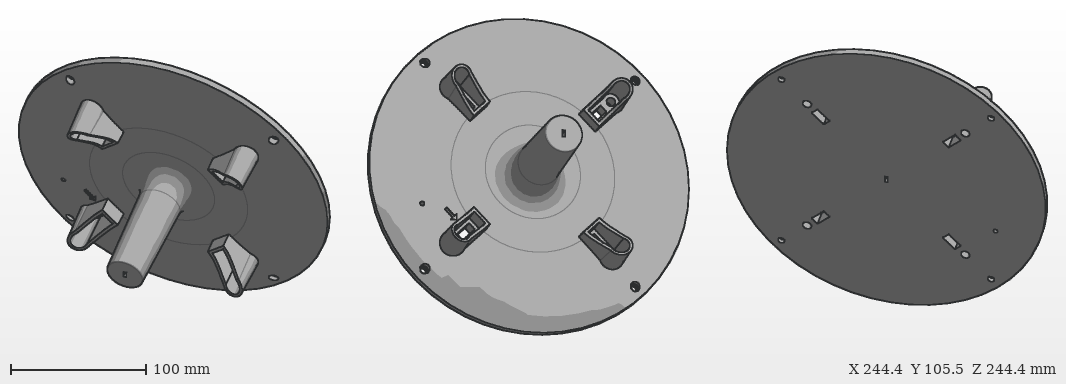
import cadquery as cq


DISH_RADIUS = 122.2
RIM_DEPTH = 5.4
FLAT_RADIUS = 62.5
FACE_DEPTH = 15.2

ROOT_RADIUS = 36.5
FLARE_RADIUS = 19.5
FLARE_END_DEPTH = 34.2
FLARE_END_RADIUS = 16.4
TIP_RADIUS = 14.2
TIP_DEPTH = 105.5
TIP_ROUND = 0.5
TIP_SLOT_WIDTH = 2.2
TIP_SLOT_LENGTH = 5.1

TOWER_ANGLES = (45, 135, 225, 315)
TOWER_PIVOT = 85.8
TOWER_INNER = 58.7
TOWER_ROUND_RADIUS = 9.8
TOWER_ROUND_DRAFT = 2.3
RIB_HALF_WIDTH = 9.0
RIB_DRAFT = 1.4
TOWER_BASE_DEPTH = 11.0
TOWER_DEPTH = 44.2
LOW_END_DEPTH = 26.6
SADDLE_MIDDLE = (76.2, 34.7)
CREST_START = (88.7, 42.3)
POCKET_ROUND_RADIUS = 6.4
POCKET_HALF_WIDTH = 5.9
POCKET_INNER = 61.5
POCKET_FLOOR_DEPTH = 12.2
PIVOT_HOLE_DIAMETER = 6.5
WINDOW_INNER = 64.5
WINDOW_OUTER = 77.7
WINDOW_WIDTH = 6.4

SCREW_OFFSET = 80.5
SCREW_DIAMETER = 5.0
SCREW_HEAD_DIAMETER = 7.0
SCREW_SEAT_DEPTH = 3.7
INDEX_HOLE_X = -83.8
INDEX_HOLE_Z = -31.5
INDEX_HOLE_DIAMETER = 3.2

ARROW_TIP = (-58.0, -42.5)
ARROW_ANGLE = -45
ARROW_LENGTH = 11.7
ARROW_HEAD = 3.2
ARROW_SHAFT_HALF_WIDTH = 1.0
ARROW_FLOOR_DEPTH = 14.2


def plane_at(depth):
    """Workplane parallel to the back, with local x = X, y = Z and normal -Y."""
    return cq.Workplane("XZ", origin=(0, -depth, 0))


def drill(x, z, diameter, floor_depth=0):
    """Round cutter from the given floor out past the front of the part."""
    return plane_at(floor_depth).center(x, z).circle(diameter / 2).extrude(TIP_DEPTH)


def keyhole(depth, height, inner, half_width, round_radius, straight_draft=0, round_draft=0):
    """Block running from its inner end into a slightly wider round at the pivot."""
    length = TOWER_PIVOT - inner
    straight = (
        plane_at(depth)
        .center(inner + length / 2, 0)
        .rect(length, 2 * half_width)
        .extrude(height, taper=straight_draft)
    )
    round_end = (
        plane_at(depth)
        .center(TOWER_PIVOT, 0)
        .circle(round_radius)
        .extrude(height, taper=round_draft)
    )
    return straight.union(round_end)


def on_each_tower(shape):
    """Copies of a shape built along +X, turned onto the four diagonals."""
    copies = cq.Workplane("XY")
    for angle in TOWER_ANGLES:
        copies = copies.add(shape.rotate((0, 0, 0), (0, 1, 0), angle))
    return copies


def make_dish_and_stem():
    dome_drop = FACE_DEPTH - RIM_DEPTH
    dome_run = DISH_RADIUS - FLAT_RADIUS
    dome_radius = (dome_run**2 + dome_drop**2) / (2 * dome_drop)
    profile = (
        cq.Workplane("XY")
        .lineTo(DISH_RADIUS, 0)
        .lineTo(DISH_RADIUS, -RIM_DEPTH)
        .radiusArc((FLAT_RADIUS, -FACE_DEPTH), dome_radius)
        .lineTo(ROOT_RADIUS, -FACE_DEPTH)
        .radiusArc((FLARE_END_RADIUS, -FLARE_END_DEPTH), -FLARE_RADIUS)
        .lineTo(TIP_RADIUS, -TIP_DEPTH)
        .lineTo(0, -TIP_DEPTH)
        .close()
    )
    body = profile.revolve(360, (0, 0, 0), (0, 1, 0))
    return body.faces("<Y").edges().fillet(TIP_ROUND)


def make_tower():
    blank = keyhole(
        TOWER_BASE_DEPTH,
        TOWER_DEPTH - TOWER_BASE_DEPTH,
        TOWER_INNER,
        RIB_HALF_WIDTH,
        TOWER_ROUND_RADIUS,
        RIB_DRAFT,
        TOWER_ROUND_DRAFT,
    )
    outer = TOWER_PIVOT + TOWER_ROUND_RADIUS
    saddle = [(r, -depth) for r, depth in (SADDLE_MIDDLE, CREST_START)]
    side = (
        cq.Workplane("XY")
        .moveTo(TOWER_INNER, 0)
        .lineTo(TOWER_INNER, -LOW_END_DEPTH)
        .spline(saddle + [(outer, -TOWER_DEPTH)], includeCurrent=True)
        .lineTo(outer, 0)
        .close()
        .extrude(TOWER_ROUND_RADIUS, both=True)
    )
    return blank.intersect(side)


def make_tower_openings():
    pocket = keyhole(
        POCKET_FLOOR_DEPTH,
        TOWER_DEPTH,
        POCKET_INNER,
        POCKET_HALF_WIDTH,
        POCKET_ROUND_RADIUS,
    )
    window = (
        plane_at(0)
        .center((WINDOW_INNER + WINDOW_OUTER) / 2, 0)
        .rect(WINDOW_OUTER - WINDOW_INNER, WINDOW_WIDTH)
        .extrude(TOWER_DEPTH)
    )
    return pocket.union(window).union(drill(TOWER_PIVOT, 0, PIVOT_HOLE_DIAMETER))


def make_arrow():
    shaft = ARROW_SHAFT_HALF_WIDTH
    outline = [
        (0, 0),
        (-ARROW_HEAD, ARROW_HEAD),
        (-ARROW_HEAD, shaft),
        (-ARROW_LENGTH, shaft),
        (-ARROW_LENGTH, -shaft),
        (-ARROW_HEAD, -shaft),
        (-ARROW_HEAD, -ARROW_HEAD),
    ]
    return (
        plane_at(ARROW_FLOOR_DEPTH)
        .center(*ARROW_TIP)
        .transformed(rotate=(0, 0, ARROW_ANGLE))
        .polyline(outline)
        .close()
        .extrude(FACE_DEPTH - ARROW_FLOOR_DEPTH)
    )


result = make_dish_and_stem()
for tower in on_each_tower(make_tower()).vals():
    result = result.union(cq.Workplane(tower))
for openings in on_each_tower(make_tower_openings()).vals():
    result = result.cut(cq.Workplane(openings))

for x_side in (-1, 1):
    for z_side in (-1, 1):
        screw_x = x_side * SCREW_OFFSET
        screw_z = z_side * SCREW_OFFSET
        result = result.cut(drill(screw_x, screw_z, SCREW_DIAMETER))
        result = result.cut(drill(screw_x, screw_z, SCREW_HEAD_DIAMETER, SCREW_SEAT_DEPTH))

result = result.cut(drill(INDEX_HOLE_X, INDEX_HOLE_Z, INDEX_HOLE_DIAMETER))
result = result.cut(plane_at(0).rect(TIP_SLOT_WIDTH, TIP_SLOT_LENGTH).extrude(TIP_DEPTH))
result = result.cut(make_arrow())